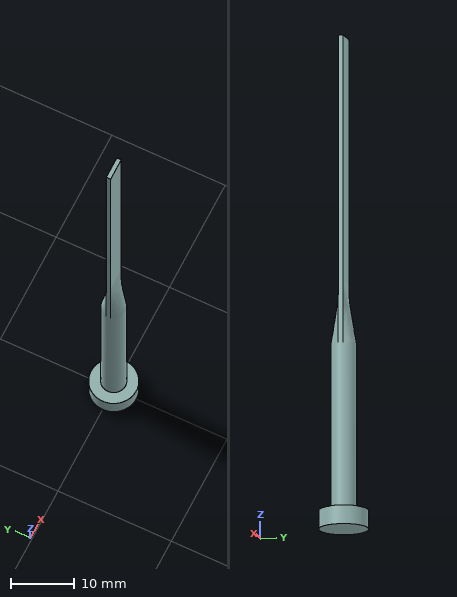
import cadquery as cq
import math

total_length = 80.0
head_diameter = 8.0
head_height = 3.0
shaft_diameter = 4.2
blade_width = 3.8
blade_thickness = 0.8
blade_length = total_length / 2
transition_length = 10.0

blade_base = total_length - blade_length
shaft_top = blade_base - transition_length


def make_head():
    return cq.Workplane("XY").circle(head_diameter / 2).extrude(head_height)


def make_shaft():
    return (
        cq.Workplane("XY")
        .workplane(offset=head_height)
        .circle(shaft_diameter / 2)
        .extrude(shaft_top - head_height)
    )


def make_transition():
    """Ruled blend from the round shaft to the flat blade.

    The circle is split into four arcs, level in Y with the blade corners,
    so each arc blends into one side of the blade rectangle.
    """
    radius = shaft_diameter / 2
    split_y = blade_thickness / 2
    split_x = math.sqrt(radius**2 - split_y**2)
    return (
        cq.Workplane("XY")
        .workplane(offset=shaft_top)
        .moveTo(-split_x, -split_y)
        .threePointArc((0, -radius), (split_x, -split_y))
        .threePointArc((radius, 0), (split_x, split_y))
        .threePointArc((0, radius), (-split_x, split_y))
        .threePointArc((-radius, 0), (-split_x, -split_y))
        .close()
        .workplane(offset=transition_length)
        .rect(blade_width, blade_thickness)
        .loft(ruled=True, combine=True)
    )


def make_blade():
    return (
        cq.Workplane("XY")
        .workplane(offset=blade_base)
        .rect(blade_width, blade_thickness)
        .extrude(blade_length)
    )


result = make_head().union(make_shaft()).union(make_transition()).union(make_blade())